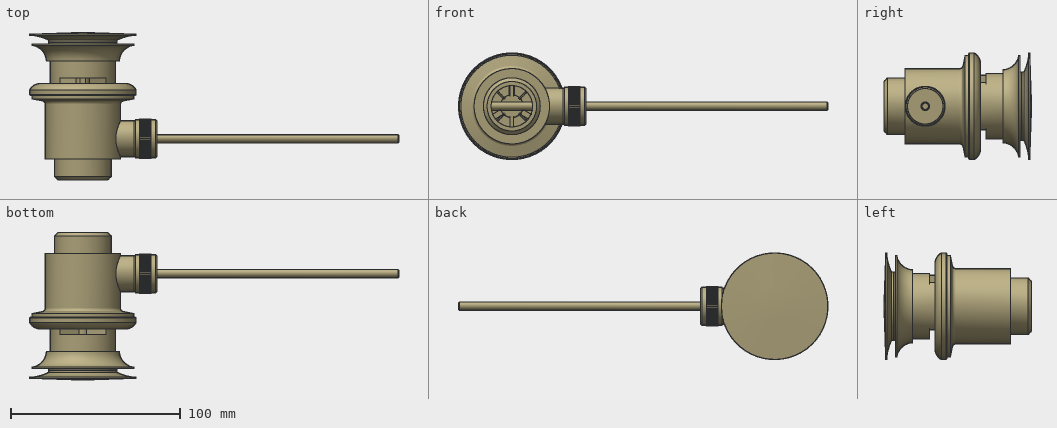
import cadquery as cq


overall_length = 217.6
overall_height = 87

tail_end_y = -24.4
shoulder_y = -12.0
collar_y = 20.2
cone_start_y = 22.2
washer_y = 23.5
ring_y = 26.1
dome_y = 28.7
tube_start_y = 32.6
flange_y = 45.7
rim_under_y = 55.0
rim_top_y = 56.0
seat_y = 52.2

tail_radius = 16.8
tail_chamfer = 2.2
tail_bore_radius = 12.2
housing_radius = 22.2
collar_radius = 23.5
washer_radius = 30.0
ring_radius = 63.0 / 2
ring_lip = 0.7
dome_top_radius = 25.5
tube_radius = 19.4
housing_bore_radius = 15.2
tube_bore_radius = 18.5
flange_radius = 21.5
rim_radius = 30.0
flare_arc_radius = 9.8
dome_arc_radius = 7.6
collar_arc_radius = 2.2

window_height = 3.0
window_width = 27.0

port_radius = 10.7
nut_start_x = 30.3
nut_end_x = 43.7
nut_radius = 11.3
nut_chamfer = 0.9
knurl_start_x = 33.3
knurl_end_x = 40.3
knurl_radius = 11.8
knurl_count = 60
knurl_gap = 0.55
rod_radius = 5.0 / 2
rod_chamfer = 0.7
rod_inner_x = -14.1
rod_end_x = overall_length - ring_radius

plug_radius = ring_radius
neck_radius = 20.2
neck_top_y = 58.1
groove_y = 56.8
groove_width = 0.5
groove_depth = 0.2
disc_arc_radius = 26.1
disc_under_y = 61.0
disc_edge_y = 61.5
plug_top_y = tail_end_y + overall_height
stem_radius = 4.0
arm_reach = 18.3
arm_count = 3
arm_thickness = 3.3
hub_radius = 6.7
hub_fillet = 0.7
star_bottom_y = 3.3
star_top_y = 10.9
spoke_count = 8
spoke_reach = 15.0
wide_spoke_thickness = 2.0
narrow_spoke_thickness = 0.9


def disc_along_y(radius, start_y, end_y):
    return cq.Workplane("XZ", origin=(0, start_y, 0)).circle(radius).extrude(start_y - end_y)


def disc_along_x(radius, start_x, end_x):
    return cq.Workplane("YZ", origin=(start_x, 0, 0)).circle(radius).extrude(end_x - start_x)


def revolve_about_y(profile):
    return profile.close().revolve(360, (0, 0, 0), (0, 1, 0))


def make_turned_body():
    """Tail, housing, clamping ring, tube and top flange as one turned shape."""
    return revolve_about_y(
        cq.Workplane("XY")
        .moveTo(0, tail_end_y)
        .lineTo(tail_radius - tail_chamfer, tail_end_y)
        .lineTo(tail_radius, tail_end_y + tail_chamfer)
        .lineTo(tail_radius, shoulder_y)
        .lineTo(housing_radius, shoulder_y)
        .lineTo(housing_radius, collar_y)
        .radiusArc((collar_radius, cone_start_y), collar_arc_radius)
        .lineTo(washer_radius, washer_y)
        .lineTo(washer_radius, ring_y - ring_lip)
        .lineTo(ring_radius - ring_lip, ring_y - ring_lip)
        .lineTo(ring_radius, ring_y)
        .lineTo(ring_radius, dome_y)
        .radiusArc((dome_top_radius, tube_start_y), -dome_arc_radius)
        .lineTo(tube_radius, tube_start_y)
        .lineTo(tube_radius, flange_y)
        .lineTo(flange_radius, flange_y)
        .radiusArc((rim_radius, rim_under_y), flare_arc_radius)
        .lineTo(rim_radius, rim_top_y)
        .lineTo(0, rim_top_y)
    )


def make_bore():
    """Through bore that widens in steps from the tail up to the plug seat."""
    tail_bore = disc_along_y(tail_bore_radius, tail_end_y, shoulder_y)
    housing_bore = disc_along_y(housing_bore_radius, shoulder_y, collar_y)
    tube_bore = disc_along_y(tube_bore_radius, collar_y, seat_y)
    plug_seat = disc_along_y(neck_radius, seat_y, rim_top_y)
    return tail_bore.union(housing_bore).union(tube_bore).union(plug_seat)


def make_overflow_windows():
    """One box that opens the tube wall on both the +Z and -Z sides."""
    centre_y = tube_start_y + window_height / 2
    return cq.Workplane("XY").box(window_width, window_height, 2 * ring_radius).translate((0, centre_y, 0))


def make_knurl():
    band = disc_along_x(knurl_radius, knurl_start_x, knurl_end_x)
    gaps = (
        cq.Workplane("YZ", origin=(knurl_start_x, 0, 0))
        .polarArray(knurl_radius, 0, 360, knurl_count)
        .rect(2 * (knurl_radius - nut_radius), knurl_gap)
        .extrude(knurl_end_x - knurl_start_x)
    )
    return band.cut(gaps)


def make_side_port():
    port = disc_along_x(port_radius, 0, nut_start_x)
    nut = disc_along_x(nut_radius, nut_start_x, nut_end_x).edges().chamfer(nut_chamfer)
    return port.union(nut).union(make_knurl())


def make_rod():
    return disc_along_x(rod_radius, rod_inner_x, rod_end_x).faces(">X").edges().chamfer(rod_chamfer)


def make_valve_body():
    shell = make_turned_body().union(make_side_port())
    hollow = shell.cut(make_bore()).cut(make_overflow_windows())
    return hollow.union(make_rod())


def make_plug_head():
    """Shallow conical disc on a grooved neck."""
    return revolve_about_y(
        cq.Workplane("XY")
        .moveTo(0, seat_y)
        .lineTo(neck_radius, seat_y)
        .lineTo(neck_radius, groove_y - groove_width / 2)
        .lineTo(neck_radius - groove_depth, groove_y - groove_width / 2)
        .lineTo(neck_radius - groove_depth, groove_y + groove_width / 2)
        .lineTo(neck_radius, groove_y + groove_width / 2)
        .lineTo(neck_radius, neck_top_y)
        .radiusArc((plug_radius, disc_under_y), disc_arc_radius)
        .lineTo(plug_radius, disc_edge_y)
        .lineTo(0, plug_top_y)
    )


def make_blade(angle, reach, thickness, start_y, end_y):
    """Flat radial blade with a round tip; the angle is measured from +X towards +Z."""
    blade = (
        cq.Workplane("XY")
        .box(reach, end_y - start_y, thickness)
        .translate((reach / 2, (start_y + end_y) / 2, 0))
        .intersect(disc_along_y(reach, start_y, end_y))
    )
    return blade.rotate((0, 0, 0), (0, 1, 0), -angle)


def make_stem():
    """Thin stem with three guide arms in the tube, the first one facing +Z."""
    stem = disc_along_y(stem_radius, star_top_y, seat_y)
    for index in range(arm_count):
        angle = 90 + index * 360 / arm_count
        stem = stem.union(make_blade(angle, arm_reach, arm_thickness, collar_y, seat_y))
    return stem


def make_star():
    """Round hub with wide and narrow spokes in turn, at the foot of the stem."""
    star = disc_along_y(hub_radius, star_bottom_y, star_top_y).faces("<Y").edges().fillet(hub_fillet)
    for index in range(spoke_count):
        angle = index * 360 / spoke_count
        thickness = wide_spoke_thickness if index % 2 == 0 else narrow_spoke_thickness
        star = star.union(make_blade(angle, spoke_reach, thickness, star_bottom_y, star_top_y))
    return star


def make_plug():
    return make_plug_head().union(make_stem()).union(make_star())


valve_body = make_valve_body()
plug = make_plug()

result = cq.Compound.makeCompound([valve_body.val(), plug.val()])